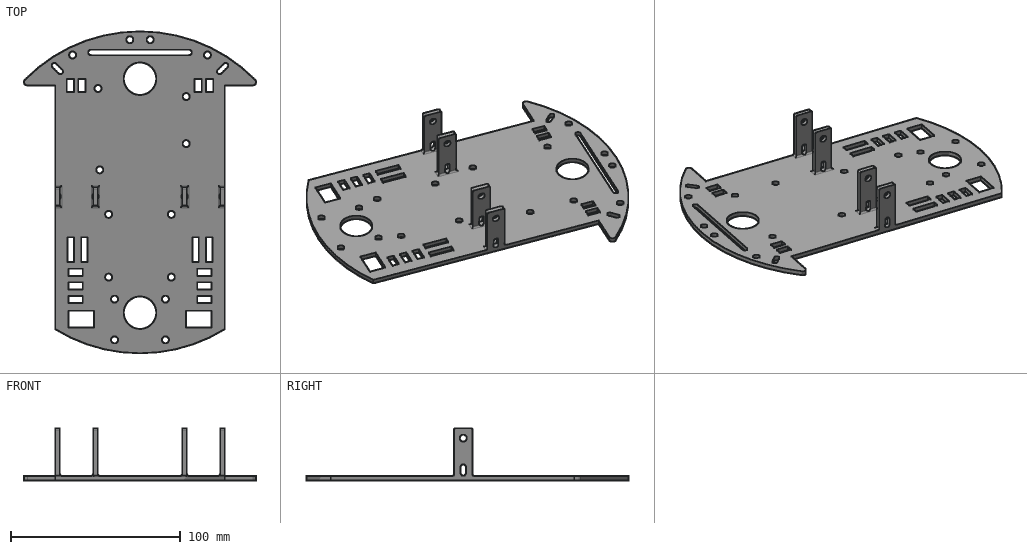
import cadquery as cq
import math

thickness = 2.8
arc_radius = 95.0
body_width = 100.0
shoulder_y = 63.0
wing_tip_radius = 2.0

screw_diameter = 4.0
cable_diameter = 19.0
cable_hole_ys = (67.0, -71.0)
mirrored_screw_holes = (
    (6.0, 90.0),
    (39.75, 81.0),
    (18.5, -13.0),
    (18.5, -50.0),
    (15.0, -63.0),
    (15.0, -87.0),
)
single_screw_holes = ((-24.75, 61.25), (27.25, 56.5), (27.25, 28.75), (-23.75, 13.25))

slot_width = 3.0
sensor_slot_length = 61.0
sensor_slot_y = 82.5
wing_slot_length = 8.0
wing_slot_x = 48.75
wing_slot_y = 73.0
wing_slot_angle = 45.0

front_window_size = (4.2, 7.5)
front_window_xs = (34.25, 41.1)
front_window_y = shoulder_y
long_window_size = (3.6, 14.5)
long_window_xs = (32.85, 40.85)
long_window_y = -33.75
strap_window_size = (8.2, 4.1)
strap_window_x = 38.0
strap_window_first_y = -47.2
strap_window_pitch = 8.0
strap_window_count = 3
switch_window_size = (15.0, 9.8)
switch_window_centre = (34.65, -74.75)

total_height = 30.9
tab_thickness = thickness
tab_width = 11.0
tab_y = -2.5
outer_tab_x = (body_width - tab_thickness) / 2
inner_tab_x = 26.3
tab_corner_radius = 1.0
tab_root_radius = 1.0
tab_hole_z = 25.0
tab_slot_z = 6.2
tab_slot_length = 6.6
tab_slot_angle = 90.0


def make_plate():
    """Rounded body with two swept wings ahead of the shoulders."""
    half_width = body_width / 2
    rear_corner_y = -math.sqrt(arc_radius**2 - half_width**2)

    tip_y = shoulder_y + wing_tip_radius
    tip_x = math.sqrt((arc_radius - wing_tip_radius) ** 2 - tip_y**2)
    tip_angle = math.atan2(tip_y, tip_x)
    front_x = arc_radius * math.cos(tip_angle)
    front_y = arc_radius * math.sin(tip_angle)
    tip_end_x = tip_x + wing_tip_radius

    return (
        cq.Workplane("XY")
        .moveTo(-half_width, rear_corner_y)
        .threePointArc((0, -arc_radius), (half_width, rear_corner_y))
        .lineTo(half_width, shoulder_y)
        .lineTo(tip_x, shoulder_y)
        .threePointArc((tip_end_x, tip_y), (front_x, front_y))
        .threePointArc((0, arc_radius), (-front_x, front_y))
        .threePointArc((-tip_end_x, tip_y), (-tip_x, shoulder_y))
        .lineTo(-half_width, shoulder_y)
        .close()
        .extrude(thickness)
    )


def mirrored(points):
    """The points together with their mirror images about X = 0."""
    return [(side * x, y) for x, y in points for side in (-1, 1)]


def cut_round_holes(plate):
    screw_points = mirrored(mirrored_screw_holes) + list(single_screw_holes)
    cable_points = [(0, y) for y in cable_hole_ys]
    screws = cq.Workplane("XY").pushPoints(screw_points).circle(screw_diameter / 2).extrude(thickness)
    cables = cq.Workplane("XY").pushPoints(cable_points).circle(cable_diameter / 2).extrude(thickness)
    return plate.cut(screws).cut(cables)


def cut_slots(plate):
    sensor_slot = (
        cq.Workplane("XY")
        .center(0, sensor_slot_y)
        .slot2D(sensor_slot_length, slot_width)
        .extrude(thickness)
    )
    plate = plate.cut(sensor_slot)
    for side in (-1, 1):
        wing_slot = (
            cq.Workplane("XY")
            .center(side * wing_slot_x, wing_slot_y)
            .slot2D(wing_slot_length, slot_width, side * wing_slot_angle)
            .extrude(thickness)
        )
        plate = plate.cut(wing_slot)
    return plate


def cut_window_group(plate, size, centres):
    """Cut equal rectangular windows at the given centres on both halves of the plate."""
    windows = cq.Workplane("XY").pushPoints(mirrored(centres)).rect(*size).extrude(thickness)
    return plate.cut(windows)


def cut_windows(plate):
    front_centres = [(x, front_window_y) for x in front_window_xs]
    long_centres = [(x, long_window_y) for x in long_window_xs]
    strap_centres = [
        (strap_window_x, strap_window_first_y - i * strap_window_pitch) for i in range(strap_window_count)
    ]
    plate = cut_window_group(plate, front_window_size, front_centres)
    plate = cut_window_group(plate, long_window_size, long_centres)
    plate = cut_window_group(plate, strap_window_size, strap_centres)
    return cut_window_group(plate, switch_window_size, [switch_window_centre])


def add_tabs(plate):
    """Four uprights with rounded tops, blended into the plate around their roots."""
    tab_xs = (-outer_tab_x, -inner_tab_x, inner_tab_x, outer_tab_x)
    for x in tab_xs:
        tab = (
            cq.Workplane("XY")
            .box(tab_thickness, tab_width, total_height, centered=(True, True, False))
            .edges("|X and >Z")
            .fillet(tab_corner_radius)
            .translate((x, tab_y, 0))
        )
        plate = plate.union(tab)

    zone_half_width = body_width / 2
    zone_half_length = tab_width / 2 + tab_root_radius
    root_zone = cq.selectors.BoxSelector(
        (-zone_half_width, tab_y - zone_half_length, thickness - tab_root_radius / 2),
        (zone_half_width, tab_y + zone_half_length, thickness + tab_root_radius / 2),
    )
    return plate.edges(root_zone).fillet(tab_root_radius)


def cut_tab_holes(body):
    """Screw hole and adjusting slot, drilled along X through all four tabs."""
    side_plane = cq.Workplane("YZ", origin=(-body_width / 2, 0, 0))
    holes = side_plane.center(tab_y, tab_hole_z).circle(screw_diameter / 2).extrude(body_width)
    slots = (
        side_plane.center(tab_y, tab_slot_z)
        .slot2D(tab_slot_length, slot_width, tab_slot_angle)
        .extrude(body_width)
    )
    return body.cut(holes).cut(slots)


plate = cut_windows(cut_slots(cut_round_holes(make_plate())))
result = cut_tab_holes(add_tabs(plate))